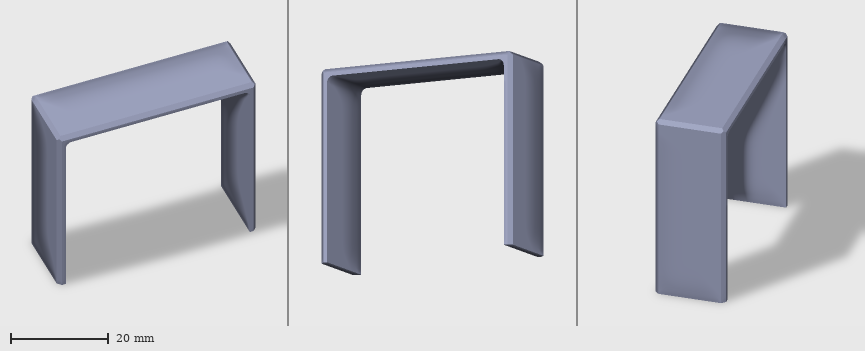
import cadquery as cq

width = 15.1
length = 44.1
height = 40.4

wall = 1.68
edge_chamfer = wall / 2
inner_corner_radius = 1.32


def base_block(y_size, z_size):
    """Block across the full width, centred in X and Y and standing on Z = 0."""
    return cq.Workplane("XY").box(width, y_size, z_size, centered=(True, True, False))


def chamfered_block(edge_selector):
    """Outer block with the selected edges chamfered."""
    return base_block(length, height).edges(edge_selector).chamfer(edge_chamfer)


outer = (
    chamfered_block("|Z")
    .intersect(chamfered_block("|X and >Z"))
    .intersect(chamfered_block("|Y and >Z"))
)

channel = base_block(length - 2 * wall, height - wall).edges("|X and >Z").fillet(inner_corner_radius)

result = outer.cut(channel)